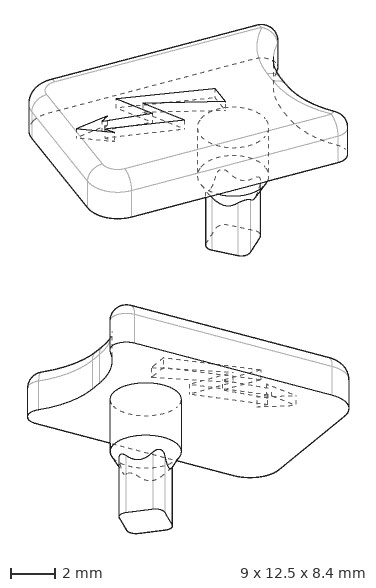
import cadquery as cq
import math


plate_width = 9.0
plate_length = 12.48
plate_height = 2.2
back_y = 3.88
front_y = back_y - plate_length
front_corner_radius = 1.5
horn_radius = 0.75
edge_fillet = 0.74

notch_depth = 1.3
notch_flat_width = 0.65

total_height = 8.4
collar_diameter = 3.21
collar_length = 2.66
taper_half_angle = 30.0
shank_side = 2.12
shank_corner_radius = 0.44

arrow_depth = 0.5
arrow_points = [
    (-0.26, -0.77),
    (0.85, -0.77),
    (-0.57, -4.2),
    (1.41, -3.06),
    (0.55, -6.61),
    (0.99, -6.33),
    (0.0, -7.78),
    (-0.34, -6.07),
    (-0.04, -6.49),
    (0.32, -4.15),
    (-1.4, -5.17),
]


def make_plate():
    """Rounded plate with a concave back edge and a filleted top rim."""
    side_x = plate_width / 2
    horn_x = side_x - horn_radius
    horn_y = back_y - horn_radius
    flat_x = notch_flat_width / 2
    notch_y = back_y - notch_depth

    run = horn_x - flat_x
    rise = horn_y - (notch_y - horn_radius)
    reach = (run**2 + rise**2) / (2 * rise)
    notch_radius = reach - horn_radius
    notch_center_y = notch_y + notch_radius
    joint_angle = math.atan2(notch_center_y - horn_y, run)

    joint_x = horn_x - horn_radius * math.cos(joint_angle)
    joint_y = horn_y + horn_radius * math.sin(joint_angle)
    horn_mid_angle = (math.pi - joint_angle) / 2
    horn_mid_x = horn_x + horn_radius * math.cos(horn_mid_angle)
    horn_mid_y = horn_y + horn_radius * math.sin(horn_mid_angle)
    notch_mid_angle = (joint_angle + math.pi / 2) / 2
    notch_mid_x = flat_x + notch_radius * math.cos(notch_mid_angle)
    notch_mid_y = notch_center_y - notch_radius * math.sin(notch_mid_angle)

    return (
        cq.Workplane("XY")
        .moveTo(-side_x, front_y)
        .lineTo(side_x, front_y)
        .lineTo(side_x, horn_y)
        .threePointArc((horn_mid_x, horn_mid_y), (joint_x, joint_y))
        .threePointArc((notch_mid_x, notch_mid_y), (flat_x, notch_y))
        .lineTo(-flat_x, notch_y)
        .threePointArc((-notch_mid_x, notch_mid_y), (-joint_x, joint_y))
        .threePointArc((-horn_mid_x, horn_mid_y), (-side_x, horn_y))
        .close()
        .extrude(plate_height)
        .edges("|Z and <Y")
        .fillet(front_corner_radius)
        .faces(">Z")
        .edges()
        .fillet(edge_fillet)
    )


def make_stem():
    """Round collar that tapers onto a square shank with rounded corners."""
    collar_radius = collar_diameter / 2
    stem_length = total_height - plate_height
    taper_length = collar_radius / math.tan(math.radians(taper_half_angle))

    collar = (
        cq.Workplane("XZ")
        .polyline([
            (0, 0),
            (collar_radius, 0),
            (collar_radius, -collar_length),
            (0, -collar_length - taper_length),
        ])
        .close()
        .revolve(360, (0, 0), (0, 1))
    )
    shank = (
        cq.Workplane("XY")
        .rect(shank_side, shank_side)
        .extrude(-stem_length)
        .edges("|Z")
        .fillet(shank_corner_radius)
        .rotate((0, 0, 0), (0, 0, 1), 45)
    )
    return collar.union(shank)


def make_arrow():
    """Lightning arrow that fills its recess in the plate."""
    return (
        cq.Workplane("XY", origin=(0, 0, plate_height))
        .polyline(arrow_points)
        .close()
        .extrude(-arrow_depth)
    )


arrow = make_arrow()
cap = make_plate().union(make_stem()).cut(arrow)

result = cq.Compound.makeCompound([cap.val(), arrow.val()])